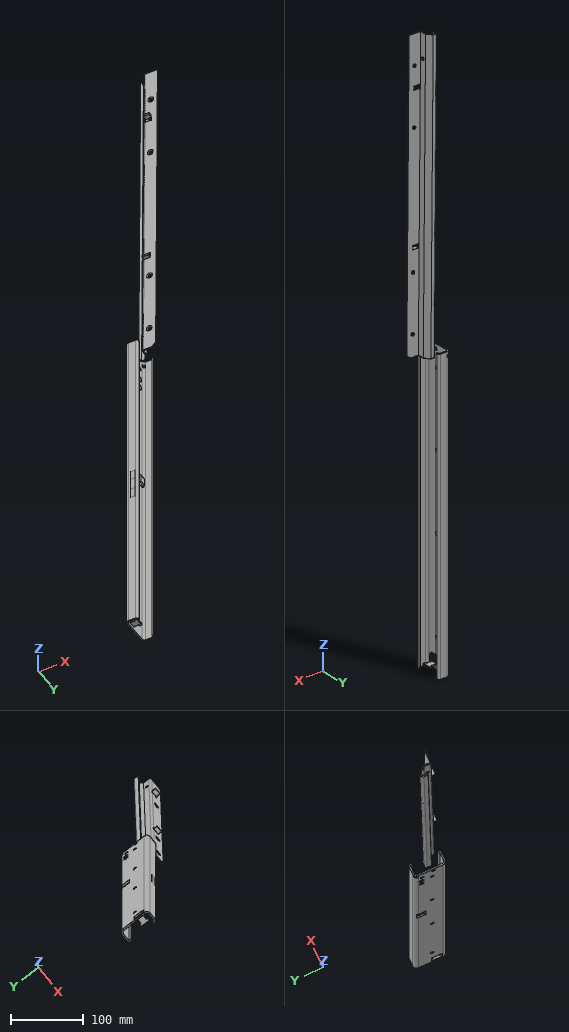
import cadquery as cq
import math

CHANNEL_BOTTOM = -493.0
RAIL_TOP = 493.0
MEMBER_LENGTH = 500.0
OVERALL_DEPTH = 44.0
CHANNEL_TOP = CHANNEL_BOTTOM + MEMBER_LENGTH
OVERRUN = 10.0

CHANNEL_BACK = -OVERALL_DEPTH / 2
CHANNEL_FRONT = -2.0
CHANNEL_HALF_WIDTH = 25.0
CHANNEL_CENTRE_Y = 0.3
CHANNEL_WALL = 2.5
CHANNEL_CORNER = 6.0
LIP_CORNER = 3.0
LIP_DEPTH = 6.0
WEB_INSIDE = CHANNEL_BACK + CHANNEL_WALL

WEB_HOLE_DIAMETER = 5.0
WEB_HOLES = [
    (-4.0, 0.0),
    (22.0, 0.0),
    (13.0, -11.0),
    (-2.0, -29.0),
    (-2.0, -156.0),
    (-2.0, -284.0),
    (-2.0, -443.0),
]
LARGE_HOLE_DIAMETER = 7.0
LARGE_HOLES = [(14.0, -29.0), (14.0, -43.0)]

WINDOW_Y_MIN = -18.0
WINDOW_Y_MAX = -1.0
WINDOW_BOTTOM = -488.0
WINDOW_HEIGHT = 17.0
WINDOW_CHAMFER = 4.0
TAB_NECK_WIDTH = 10.0
TAB_HEAD_WIDTH = 15.0
TAB_HEAD_START = -12.0
TAB_END = -8.0

POCKET_Y = 15.0
POCKET_Z = -211.0
POCKET_WIDTH = 15.0
POCKET_HEIGHT = 17.0
POCKET_DEPTH = 3.4
POCKET_TAPER = 40

PAD_X_MIN = -13.0
PAD_X_MAX = -6.0
PAD_Z = -249.0
PAD_LENGTH = 46.0
PAD_CREST_LENGTH = 18.0
PAD_HEIGHT = 0.7

RAIL_WALL = 2.0
RAIL_TILT = -0.58
HOOK_LEFT = -13.0
HOOK_TIP_Y = -0.5
HOOK_TOP = 9.1
SHOULDER_X = -5.0
SHOULDER_FOOT_Y = 1.0
RAIL_WALL_RIGHT = 2.0
FLANGE_FACE_Y = -12.0
FLANGE_END = OVERALL_DEPTH / 2
FLANGE_BACK_Y = FLANGE_FACE_Y + RAIL_WALL
RAIL_WALL_LEFT = RAIL_WALL_RIGHT - RAIL_WALL
RAIL_BEND = 3.0
RAIL_BOTTOM = RAIL_TOP - MEMBER_LENGTH
FLANGE_CHAMFER = 6.0

MOUNT_X = 12.0
MOUNT_DIAMETER = 5.0
MOUNT_SINK_DIAMETER = 9.0
MOUNT_SINK_DEPTH = 1.0
MOUNT_HEIGHTS = [442.0, 347.0, 123.0, 28.0]

WALL_HOLE_Y = -5.0
WALL_HOLE_Z = 452.0
WALL_HOLE_DIAMETER = 5.0

CATCH_X_MIN = 3.0
CATCH_X_MAX = 13.0
CATCH_HEIGHT = 9.0
CATCH_REACH = 6.0
CATCH_TAB_HEIGHT = 3.0
UPPER_CATCH_BOTTOM = 405.0
LOWER_CATCH_BOTTOM = 156.0


def box(x_min, x_max, y_min, y_max, z_min, z_max):
    size = (x_max - x_min, y_max - y_min, z_max - z_min)
    return cq.Workplane("XY").box(*size, centered=False).translate((x_min, y_min, z_min))


def web_cylinder(y, z, diameter):
    """Cutter along +X through the channel web."""
    plane = cq.Workplane("YZ", origin=(CHANNEL_BACK - OVERRUN, y, z))
    return plane.circle(diameter / 2).extrude(OVERRUN + 2 * CHANNEL_WALL)


def channel_section():
    """Plain C-section channel without its openings."""
    inner_half = CHANNEL_HALF_WIDTH - CHANNEL_WALL
    outer = box(
        CHANNEL_BACK, CHANNEL_FRONT, -CHANNEL_HALF_WIDTH, CHANNEL_HALF_WIDTH, CHANNEL_BOTTOM, CHANNEL_TOP
    )
    outer = outer.edges("|Z and <X").fillet(CHANNEL_CORNER)
    outer = outer.edges("|Z and >X").fillet(LIP_CORNER)
    inner = box(
        WEB_INSIDE, CHANNEL_FRONT - CHANNEL_WALL, -inner_half, inner_half, CHANNEL_BOTTOM, CHANNEL_TOP
    )
    inner = inner.edges("|Z and <X").fillet(CHANNEL_CORNER - CHANNEL_WALL)
    mouth_half = CHANNEL_HALF_WIDTH - LIP_DEPTH
    mouth = box(
        WEB_INSIDE + CHANNEL_WALL, CHANNEL_FRONT + OVERRUN, -mouth_half, mouth_half,
        CHANNEL_BOTTOM, CHANNEL_TOP,
    )
    return outer.cut(inner).cut(mouth).translate((0, CHANNEL_CENTRE_Y, 0))


def window_cutter():
    cutter = box(
        CHANNEL_BACK - OVERRUN, WEB_INSIDE, WINDOW_Y_MIN, WINDOW_Y_MAX,
        WINDOW_BOTTOM, WINDOW_BOTTOM + WINDOW_HEIGHT,
    )
    return cutter.edges("|X and <Y and >Z").chamfer(WINDOW_CHAMFER)


def window_tab():
    middle = (WINDOW_Y_MIN + WINDOW_Y_MAX) / 2
    top = WINDOW_BOTTOM + CHANNEL_WALL

    def strip(x_min, x_max, width):
        return box(x_min, x_max, middle - width / 2, middle + width / 2, WINDOW_BOTTOM, top)

    root = box(CHANNEL_BACK, WEB_INSIDE, WINDOW_Y_MIN, WINDOW_Y_MAX, WINDOW_BOTTOM, top)
    neck = strip(WEB_INSIDE, TAB_HEAD_START, TAB_NECK_WIDTH)
    head = strip(TAB_HEAD_START, TAB_END, TAB_HEAD_WIDTH)
    return root.union(neck).union(head)


def pressed_pocket(start_x):
    """Tapered plug running inwards from start_x."""
    plane = cq.Workplane("YZ", origin=(start_x, POCKET_Y, POCKET_Z))
    return plane.rect(POCKET_WIDTH, POCKET_HEIGHT).extrude(POCKET_DEPTH, taper=POCKET_TAPER)


def ramped_pad():
    """Trapezoidal pad standing out from the -Y side wall."""
    side_y = CHANNEL_CENTRE_Y - CHANNEL_HALF_WIDTH
    half = PAD_LENGTH / 2
    crest_half = PAD_CREST_LENGTH / 2
    crest_y = side_y - PAD_HEIGHT
    outline = [
        (side_y, PAD_Z - half),
        (crest_y, PAD_Z - crest_half),
        (crest_y, PAD_Z + crest_half),
        (side_y, PAD_Z + half),
    ]
    plane = cq.Workplane("YZ", origin=(PAD_X_MIN, 0, 0))
    return plane.polyline(outline).close().extrude(PAD_X_MAX - PAD_X_MIN)


def make_channel():
    channel = channel_section()
    channel = channel.union(pressed_pocket(WEB_INSIDE)).cut(pressed_pocket(CHANNEL_BACK))
    channel = channel.union(ramped_pad())
    for y, z in WEB_HOLES:
        channel = channel.cut(web_cylinder(y, z, WEB_HOLE_DIAMETER))
    for y, z in LARGE_HOLES:
        channel = channel.cut(web_cylinder(y, z, LARGE_HOLE_DIAMETER))
    return channel.cut(window_cutter()).union(window_tab())


def rail_section():
    """Upright bent-sheet rail, traced along its outside and back along its inside."""
    slope = math.atan2(RAIL_WALL_RIGHT - SHOULDER_X, HOOK_TOP - SHOULDER_FOOT_Y)
    foot_miter = RAIL_WALL * math.tan(slope / 2)
    shoulder_miter = RAIL_WALL * math.tan((math.pi / 2 - slope) / 2)
    outline = [
        (HOOK_LEFT, HOOK_TIP_Y),
        (HOOK_LEFT, HOOK_TOP),
        (SHOULDER_X, HOOK_TOP),
        (RAIL_WALL_RIGHT, SHOULDER_FOOT_Y),
        (RAIL_WALL_RIGHT, FLANGE_BACK_Y),
        (FLANGE_END, FLANGE_BACK_Y),
        (FLANGE_END, FLANGE_FACE_Y),
        (RAIL_WALL_LEFT, FLANGE_FACE_Y),
        (RAIL_WALL_LEFT, SHOULDER_FOOT_Y - foot_miter),
        (SHOULDER_X - shoulder_miter, HOOK_TOP - RAIL_WALL),
        (HOOK_LEFT + RAIL_WALL, HOOK_TOP - RAIL_WALL),
        (HOOK_LEFT + RAIL_WALL, HOOK_TIP_Y),
    ]
    rail = cq.Workplane("XY", origin=(0, 0, RAIL_BOTTOM)).polyline(outline).close().extrude(MEMBER_LENGTH)
    middle = (RAIL_BOTTOM + RAIL_TOP) / 2
    bends = [(HOOK_LEFT, HOOK_TOP), (RAIL_WALL_LEFT, FLANGE_FACE_Y)]
    for x, y in bends:
        rail = rail.edges(cq.NearestToPointSelector((x, y, middle))).fillet(RAIL_BEND)
    return rail


def mount_hole(z):
    """Cutter for a through hole countersunk on the flange face."""
    plane = cq.Workplane("XZ", origin=(MOUNT_X, FLANGE_BACK_Y, z))
    hole = plane.circle(MOUNT_DIAMETER / 2).extrude(RAIL_WALL)
    sink = cq.Solid.makeCone(
        MOUNT_SINK_DIAMETER / 2, MOUNT_DIAMETER / 2, MOUNT_SINK_DEPTH,
        pnt=cq.Vector(MOUNT_X, FLANGE_FACE_Y, z), dir=cq.Vector(0, 1, 0),
    )
    return hole.union(cq.Workplane(sink))


def catch_window(bottom):
    return box(CATCH_X_MIN, CATCH_X_MAX, FLANGE_FACE_Y, FLANGE_BACK_Y, bottom, bottom + CATCH_HEIGHT)


def catch_tab(bottom):
    tip_y = FLANGE_FACE_Y - CATCH_REACH
    return box(CATCH_X_MIN, CATCH_X_MAX, tip_y, FLANGE_BACK_Y, bottom, bottom + CATCH_TAB_HEIGHT)


def make_rail():
    rail = rail_section()
    rail = rail.edges("|Y and >X and <Z").chamfer(FLANGE_CHAMFER)
    for z in MOUNT_HEIGHTS:
        rail = rail.cut(mount_hole(z))
    wall_hole = cq.Workplane("YZ", origin=(RAIL_WALL_LEFT, WALL_HOLE_Y, WALL_HOLE_Z))
    rail = rail.cut(wall_hole.circle(WALL_HOLE_DIAMETER / 2).extrude(RAIL_WALL))
    catches = [
        (UPPER_CATCH_BOTTOM, UPPER_CATCH_BOTTOM + CATCH_HEIGHT - CATCH_TAB_HEIGHT),
        (LOWER_CATCH_BOTTOM, LOWER_CATCH_BOTTOM),
    ]
    for window_bottom, tab_bottom in catches:
        rail = rail.cut(catch_window(window_bottom)).union(catch_tab(tab_bottom))
    return rail.rotate((0, FLANGE_FACE_Y, RAIL_TOP), (1, FLANGE_FACE_Y, RAIL_TOP), RAIL_TILT)


channel = make_channel()
rail = make_rail()
result = cq.Compound.makeCompound([channel.val(), rail.val()])